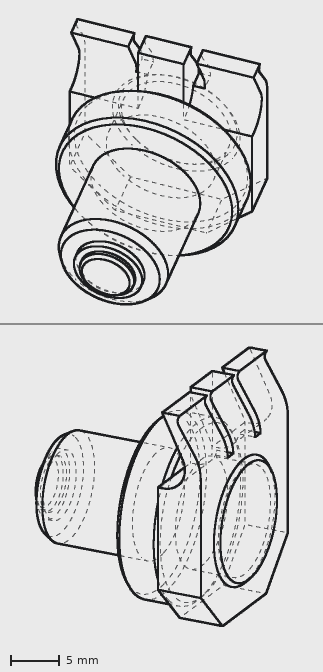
import cadquery as cq
import math


plate_width = 20.0
plate_thickness = 5.0
plate_bottom = -10.0
plate_top = 15.0
corner_cut = 5.0

shoulder_radius = 5.0
shoulder_start = 8.25
lip_radius = 1.0
lip_depth = 2.3
lip_height = 14.35

recess_mouth = 0.5
recess_radius = 2.5
recess_centre_y = 0.65
recess_centre_z = 9.0

prong_width = 5.0
slot_width = 1.25
slot_floor = 8.5

flange_radius = 10.0
flange_length = 5.0
flange_chamfer = 0.5
shaft_radius = 6.0
shaft_end = -16.5
shaft_chamfer_length = 1.0
shaft_chamfer_angle = 30.0
collar_radius = 3.75
collar_length = 0.75
tip_radius = 3.0
tip_length = 0.75
tip_chamfer = 0.38
shank_radius = shaft_radius
head_radius = 7.0
head_thickness = 0.5


def on_circle(centre, radius, angle):
    """Point on a circle at an angle in radians."""
    return (centre[0] + radius * math.cos(angle), centre[1] + radius * math.sin(angle))


def extrude_across(profile, x_start, x_end):
    """Extrude a closed (y, z) profile along X."""
    return profile.extrude(x_end - x_start).translate((x_start, 0, 0))


def plate_blank():
    """Side profile with the curved rear slope, extruded over the whole width."""
    shoulder_centre = (plate_thickness - shoulder_radius, shoulder_start)
    lip_centre = (lip_depth + lip_radius, lip_height)

    span_y = lip_centre[0] - shoulder_centre[0]
    span_z = lip_centre[1] - shoulder_centre[1]
    centre_angle = math.atan2(span_z, span_y)
    radius_sum = shoulder_radius + lip_radius
    slope_angle = centre_angle - math.acos(radius_sum / math.hypot(span_y, span_z))

    shoulder_mid = on_circle(shoulder_centre, shoulder_radius, slope_angle / 2)
    shoulder_end = on_circle(shoulder_centre, shoulder_radius, slope_angle)
    lip_start = on_circle(lip_centre, lip_radius, slope_angle + math.pi)
    lip_mid = (lip_depth, lip_height)
    lip_rise = plate_top - lip_height
    lip_end = (lip_centre[0] - math.sqrt(lip_radius**2 - lip_rise**2), plate_top)

    profile = (
        cq.Workplane("YZ")
        .moveTo(0, plate_bottom)
        .lineTo(plate_thickness, plate_bottom)
        .lineTo(plate_thickness, shoulder_start)
        .threePointArc(shoulder_mid, shoulder_end)
        .lineTo(*lip_start)
        .threePointArc(lip_mid, lip_end)
        .lineTo(0, plate_top)
        .close()
    )
    blank = extrude_across(profile, -plate_width / 2, plate_width / 2)
    lower_corners = blank.faces("<Z").edges("|Y")
    return lower_corners.chamfer(corner_cut)


def front_recess(x_start, x_end):
    """Hooked recess: straight wall tangent to an arc that ends on a level floor."""
    centre = (recess_centre_y, recess_centre_z)
    offset_y = recess_mouth - centre[0]
    offset_z = plate_top - centre[1]
    mouth_angle = math.atan2(offset_z, offset_y)
    tangent_angle = mouth_angle - math.acos(recess_radius / math.hypot(offset_y, offset_z))
    floor_angle = -math.pi / 2

    profile = (
        cq.Workplane("YZ")
        .moveTo(0, plate_top)
        .lineTo(recess_mouth, plate_top)
        .lineTo(*on_circle(centre, recess_radius, tangent_angle))
        .threePointArc(
            on_circle(centre, recess_radius, (tangent_angle + floor_angle) / 2),
            on_circle(centre, recess_radius, floor_angle),
        )
        .lineTo(0, recess_centre_z - recess_radius)
        .close()
    )
    return extrude_across(profile, x_start, x_end)


def prong_slot(x_start):
    """Slot through the plate beside the middle prong, open at the top."""
    return cq.Workplane("XY").box(
        slot_width, plate_thickness, plate_top - slot_floor, centered=False
    ).translate((x_start, 0, slot_floor))


def make_plate():
    half_prong = prong_width / 2
    half_width = plate_width / 2
    plate = plate_blank()
    plate = plate.cut(front_recess(-half_width, -half_prong))
    plate = plate.cut(front_recess(half_prong, half_width))
    for slot_start in (-half_prong - slot_width, half_prong):
        plate = plate.cut(prong_slot(slot_start))
    shank_hole = cq.Workplane("XZ").circle(shank_radius).extrude(-plate_thickness)
    return plate.cut(shank_hole)


def make_pin():
    """Half profile in (radius, y), revolved about the Y axis."""
    shaft_chamfer_drop = shaft_chamfer_length * math.tan(math.radians(shaft_chamfer_angle))
    collar_end = shaft_end - collar_length
    tip_end = collar_end - tip_length
    head_end = plate_thickness + head_thickness
    half_profile = [
        (0, tip_end),
        (tip_radius - tip_chamfer, tip_end),
        (tip_radius, tip_end + tip_chamfer),
        (tip_radius, collar_end),
        (collar_radius, collar_end),
        (collar_radius, shaft_end),
        (shaft_radius - shaft_chamfer_drop, shaft_end),
        (shaft_radius, shaft_end + shaft_chamfer_length),
        (shaft_radius, -flange_length),
        (flange_radius - flange_chamfer, -flange_length),
        (flange_radius, -flange_length + flange_chamfer),
        (flange_radius, -flange_chamfer),
        (flange_radius - flange_chamfer, 0),
        (shank_radius, 0),
        (shank_radius, plate_thickness),
        (head_radius, plate_thickness),
        (head_radius - head_thickness, head_end),
        (0, head_end),
    ]
    return cq.Workplane("XY").polyline(half_profile).close().revolve(360, (0, 0, 0), (0, 1, 0))


plate = make_plate()
pin = make_pin()

result = cq.Compound.makeCompound([plate.val(), pin.val()])